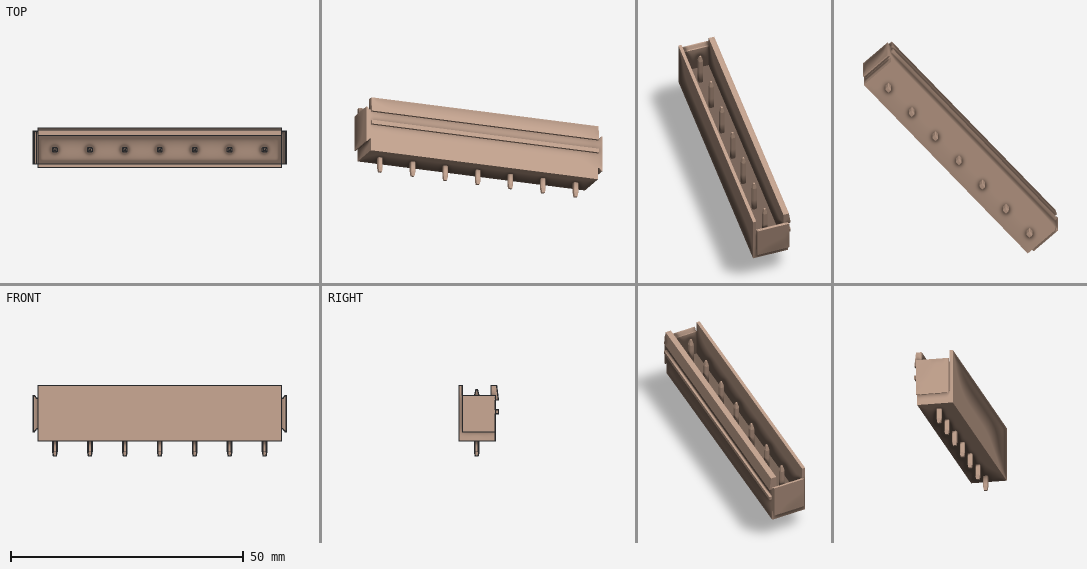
import cadquery as cq

overall_length = 54.5
overall_depth = 8.5
overall_height = 15.2

end_plate_reach = 1.05
housing_length = overall_length - 2 * end_plate_reach
housing_height = 12.0
front_wall = 0.7
back_lip_reach = 0.65
base_depth = overall_depth - back_lip_reach
back_wall = 1.0
floor_thickness = 3.0

lip_height = 3.15
lip_taper = 0.4
rib_height = 0.85
rib_bottom = 5.9

end_plate_height = 7.85
end_plate_bottom = 2.0
end_plate_neck = 0.3
end_plate_edge = 0.245
end_plate_undercut = 0.6

pin_count = 7
pin_pitch = 7.5
pin_y = 3.8
pin_width = 1.05
pin_edge_bevel = 0.19
pin_bottom = housing_height - overall_height
pin_top = 11.05
lower_tip_length = 1.0
lower_tip_width = 0.65
upper_tip_length = 1.3
upper_tip_width = 0.4

pin_positions = [(index - (pin_count - 1) / 2) * pin_pitch for index in range(pin_count)]


def make_trough():
    """Trough with its back lip and rib, as one cross-section swept along X."""
    inner_back = base_depth - back_wall
    lip_bottom = housing_height - lip_height
    rib_top = rib_bottom + rib_height
    section = [
        (0, 0),
        (base_depth, 0),
        (base_depth, rib_bottom),
        (overall_depth, rib_bottom),
        (overall_depth, rib_top),
        (base_depth, rib_top),
        (base_depth, lip_bottom),
        (overall_depth, lip_bottom),
        (overall_depth - lip_taper, housing_height),
        (inner_back, housing_height),
        (inner_back, floor_thickness),
        (front_wall, floor_thickness),
        (front_wall, housing_height),
        (0, housing_height),
    ]
    return (
        cq.Workplane("YZ")
        .polyline(section)
        .close()
        .extrude(housing_length / 2, both=True)
    )


def make_end_plate():
    """Dovetail plate on the +X end: a narrow neck that widens to the outer face."""
    inner_x = housing_length / 2
    neck_x = inner_x + end_plate_neck
    outer_x = overall_length / 2
    edge_x = outer_x - end_plate_edge
    bottom = end_plate_bottom
    top = bottom + end_plate_height
    neck_bottom = bottom + end_plate_undercut
    neck_top = top - end_plate_undercut
    section = [
        (inner_x, neck_bottom),
        (neck_x, neck_bottom),
        (edge_x, bottom),
        (outer_x, bottom),
        (outer_x, top),
        (edge_x, top),
        (neck_x, neck_top),
        (inner_x, neck_top),
    ]
    return (
        cq.Workplane("XZ", origin=(0, front_wall, 0))
        .polyline(section)
        .close()
        .extrude(front_wall - base_depth)
    )


def make_pin(x):
    """Bevelled square bar, narrowed at both ends by four sloping faces."""
    bar = (
        cq.Workplane("XY", origin=(x, pin_y, pin_bottom))
        .rect(pin_width, pin_width)
        .extrude(pin_top - pin_bottom)
        .edges("|Z")
        .chamfer(pin_edge_bevel)
    )
    half_width = pin_width / 2
    half_outline = [
        (lower_tip_width / 2, pin_bottom),
        (half_width, pin_bottom + lower_tip_length),
        (half_width, pin_top - upper_tip_length),
        (upper_tip_width / 2, pin_top),
    ]
    outline = half_outline + [(-across, z) for across, z in reversed(half_outline)]
    for plane in ("XZ", "YZ"):
        tapered_slab = (
            cq.Workplane(plane, origin=(x, pin_y, 0))
            .polyline(outline)
            .close()
            .extrude(pin_width, both=True)
        )
        bar = bar.intersect(tapered_slab)
    return bar


pins = [make_pin(x) for x in pin_positions]

right_end_plate = make_end_plate()
housing = make_trough().union(right_end_plate).union(right_end_plate.mirror("YZ"))
for pin in pins:
    housing = housing.cut(pin)

result = cq.Compound.makeCompound([housing.val(), *[pin.val() for pin in pins]])